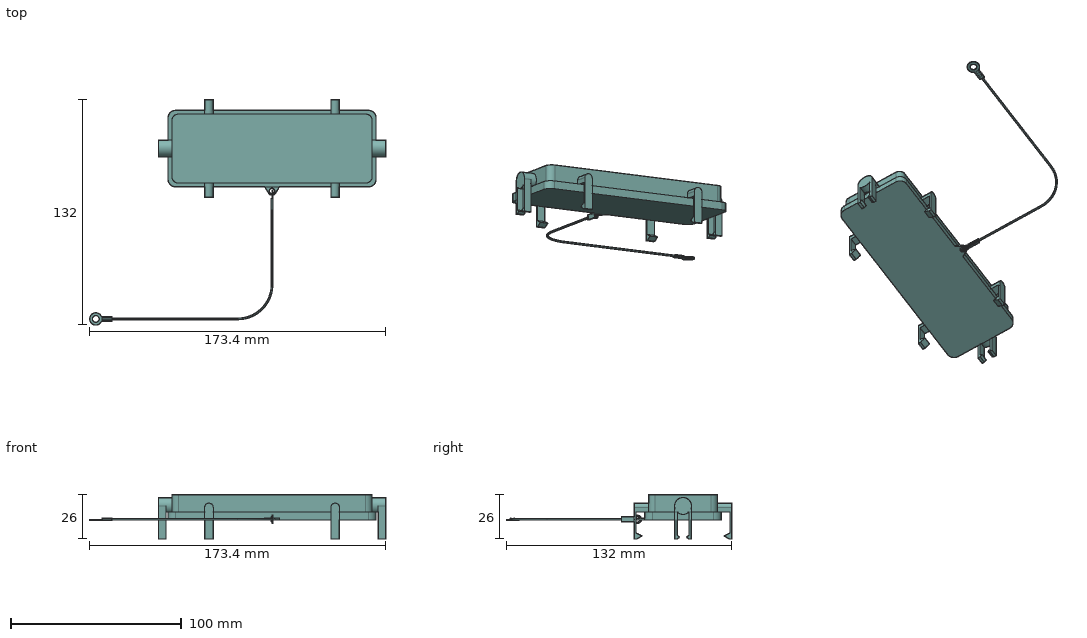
import cadquery as cq
import math


LID_LENGTH = 117.3
LID_WIDTH = 40.5
LID_TOP = 26.0
LID_CORNER = 3.8
FLANGE_LENGTH = 122.0
FLANGE_WIDTH = 45.0
FLANGE_BOTTOM = 11.1
FLANGE_TOP = 15.8
FLANGE_CORNER = 4.5

CLIP_ROOT_DEPTH = 1.7
CLIP_ROOT_X = LID_LENGTH / 2 - CLIP_ROOT_DEPTH
CLIP_ROOT_Y = LID_WIDTH / 2 - CLIP_ROOT_DEPTH

ARM_WIDTH = 5.0
ARM_RADIUS = ARM_WIDTH / 2
ARM_AXIS_Z = 18.5
SIDE_CLIP_X = 37.0
SIDE_CLIP_REACH = 28.6
SIDE_LEG = 1.2
SIDE_HOOK_REACH = 4.7
SIDE_HOOK_TOP = 3.6
SIDE_HOOK_TIP = 1.9
SIDE_HOOK_TOE = 1.5

HUB_DIAMETER = 9.9
HUB_RADIUS = HUB_DIAMETER / 2
HUB_AXIS_Z = 19.5
END_CLIP_REACH = 66.6
END_LEG = 1.5
END_LEG_WIDTH = 4.5
END_HOOK_REACH = 3.0
END_HOOK_TOP = 2.3
END_HOOK_TIP = 1.2
END_HOOK_TOE = 1.5

LUG_HALF_WIDTH = 4.3
LUG_ROOT_DEPTH = 0.9
LUG_THICKNESS = 1.2
LUG_EYE_OFFSET = 2.5
LUG_EYE_Y = -FLANGE_WIDTH / 2 - LUG_EYE_OFFSET
LUG_TIP_RADIUS = 2.5
LUG_HOLE_RADIUS = 1.5

CORD_RADIUS = 0.5
CORD_Z = 11.6
CORD_BEND = 20.1
NEAR_RING_Y = -26.7
NEAR_RING_RADIUS = 2.5
NEAR_HOLE_RADIUS = 1.5
FAR_RING_X = -103.2
FAR_RING_Y = -99.8
FAR_RING_RADIUS = 3.6
FAR_HOLE_RADIUS = 1.9
PLATE_THICKNESS = 0.7
CRIMP_END = 9.4
CRIMP_WIDTH = 3.1
WING_RADIUS = 0.7


def rounded_block(length, width, bottom, top, corner):
    block = cq.Workplane("XY").workplane(offset=bottom).rect(length, width).extrude(top - bottom)
    return block.edges("|Z").fillet(corner)


def hooked_leg(outer_y, thickness, width, top, hook_reach, hook_top, hook_tip, hook_toe):
    """Leg centred on X = 0 with its outer face at +outer_y and a barbed hook pointing to -Y."""
    inner_y = outer_y - thickness
    outline = [
        (outer_y, 0),
        (outer_y, top),
        (inner_y, top),
        (inner_y, hook_top),
        (outer_y - hook_reach, hook_tip),
        (outer_y - hook_toe, 0),
    ]
    return cq.Workplane("YZ").polyline(outline).close().extrude(width / 2, both=True)


def side_clip():
    """Clip on the +Y side, centred on X = 0."""
    arm = (
        cq.Workplane("XZ")
        .workplane(offset=-CLIP_ROOT_Y)
        .moveTo(-ARM_RADIUS, FLANGE_TOP)
        .lineTo(-ARM_RADIUS, ARM_AXIS_Z)
        .threePointArc((0, ARM_AXIS_Z + ARM_RADIUS), (ARM_RADIUS, ARM_AXIS_Z))
        .lineTo(ARM_RADIUS, FLANGE_TOP)
        .close()
        .extrude(CLIP_ROOT_Y - SIDE_CLIP_REACH)
    )
    leg = hooked_leg(
        SIDE_CLIP_REACH, SIDE_LEG, ARM_WIDTH, ARM_AXIS_Z,
        SIDE_HOOK_REACH, SIDE_HOOK_TOP, SIDE_HOOK_TIP, SIDE_HOOK_TOE,
    )
    return arm.union(leg)


def end_clip():
    """Clip on the +X end: a full disc between the legs, its stem cut flat level with the flange."""
    leg_inner_x = END_CLIP_REACH - END_LEG_WIDTH
    hub = (
        cq.Workplane("YZ")
        .workplane(offset=CLIP_ROOT_X)
        .center(0, HUB_AXIS_Z)
        .circle(HUB_RADIUS)
        .extrude(END_CLIP_REACH - CLIP_ROOT_X)
    )
    below_stem = cq.Workplane("XY").box(
        leg_inner_x, HUB_DIAMETER, FLANGE_TOP, centered=(False, True, False)
    )
    leg = hooked_leg(
        HUB_RADIUS, END_LEG, END_LEG_WIDTH, HUB_AXIS_Z,
        END_HOOK_REACH, END_HOOK_TOP, END_HOOK_TIP, END_HOOK_TOE,
    ).translate((END_CLIP_REACH - END_LEG_WIDTH / 2, 0, 0))
    return hub.cut(below_stem).union(leg).union(leg.mirror("XZ"))


def cord_lug():
    """Tab whose straight sides run tangent into a round tip around the eye."""
    edge_y = -FLANGE_WIDTH / 2
    root_y = edge_y + LUG_ROOT_DEPTH
    corner_distance = math.hypot(LUG_HALF_WIDTH, LUG_EYE_OFFSET)
    tangent_angle = math.atan2(LUG_EYE_OFFSET, LUG_HALF_WIDTH) - math.acos(LUG_TIP_RADIUS / corner_distance)
    tangent_x = LUG_TIP_RADIUS * math.cos(tangent_angle)
    tangent_y = LUG_EYE_Y + LUG_TIP_RADIUS * math.sin(tangent_angle)
    return (
        cq.Workplane("XY")
        .workplane(offset=FLANGE_BOTTOM)
        .moveTo(-LUG_HALF_WIDTH, root_y)
        .lineTo(-LUG_HALF_WIDTH, edge_y)
        .lineTo(-tangent_x, tangent_y)
        .threePointArc((0, LUG_EYE_Y - LUG_TIP_RADIUS), (tangent_x, tangent_y))
        .lineTo(LUG_HALF_WIDTH, edge_y)
        .lineTo(LUG_HALF_WIDTH, root_y)
        .close()
        .extrude(LUG_THICKNESS)
    )


def lug_eye():
    return (
        cq.Workplane("XY")
        .workplane(offset=FLANGE_BOTTOM)
        .center(0, LUG_EYE_Y)
        .circle(LUG_HOLE_RADIUS)
        .extrude(LUG_THICKNESS)
    )


def make_cover():
    cover = rounded_block(FLANGE_LENGTH, FLANGE_WIDTH, FLANGE_BOTTOM, FLANGE_TOP, FLANGE_CORNER)
    cover = cover.union(rounded_block(LID_LENGTH, LID_WIDTH, FLANGE_BOTTOM, LID_TOP, LID_CORNER))
    for x in (-SIDE_CLIP_X, SIDE_CLIP_X):
        clip = side_clip().translate((x, 0, 0))
        cover = cover.union(clip).union(clip.mirror("XZ"))
    clip = end_clip()
    cover = cover.union(clip).union(clip.mirror("YZ"))
    return cover.union(cord_lug()).cut(lug_eye())


def ring_terminal(ring_radius, hole_radius):
    """Terminal with its ring at the origin, crimp along +X, plate top and cord axis on Z = 0."""
    plate = (
        cq.Workplane("XY")
        .workplane(offset=-PLATE_THICKNESS)
        .circle(ring_radius)
        .extrude(PLATE_THICKNESS)
    )
    tongue = (
        cq.Workplane("XY")
        .workplane(offset=-PLATE_THICKNESS)
        .center(CRIMP_END / 2, 0)
        .rect(CRIMP_END, CRIMP_WIDTH)
        .extrude(PLATE_THICKNESS)
    )
    hole = (
        cq.Workplane("XY")
        .workplane(offset=-PLATE_THICKNESS)
        .circle(hole_radius)
        .extrude(PLATE_THICKNESS)
    )
    wing_inner_y = CRIMP_WIDTH / 2 - WING_RADIUS
    arc_offset = WING_RADIUS * math.sqrt(0.5)
    wing = (
        cq.Workplane("YZ")
        .workplane(offset=ring_radius)
        .moveTo(wing_inner_y, -PLATE_THICKNESS)
        .lineTo(wing_inner_y, WING_RADIUS)
        .threePointArc(
            (wing_inner_y + arc_offset, arc_offset),
            (CRIMP_WIDTH / 2, 0),
        )
        .lineTo(CRIMP_WIDTH / 2, -PLATE_THICKNESS)
        .close()
        .extrude(CRIMP_END - ring_radius)
    )
    return plate.union(tongue).union(wing).union(wing.mirror("XZ")).cut(hole)


def make_cord():
    start_y = NEAR_RING_Y - NEAR_RING_RADIUS
    bend_start_y = FAR_RING_Y + CORD_BEND
    bend_middle = CORD_BEND * (1 - math.sqrt(0.5))
    path = (
        cq.Workplane("XY")
        .workplane(offset=CORD_Z)
        .moveTo(0, start_y)
        .lineTo(0, bend_start_y)
        .threePointArc((-bend_middle, FAR_RING_Y + bend_middle), (-CORD_BEND, FAR_RING_Y))
        .lineTo(FAR_RING_X + FAR_RING_RADIUS, FAR_RING_Y)
    )
    cord = (
        cq.Workplane("XZ")
        .workplane(offset=-start_y)
        .center(0, CORD_Z)
        .circle(CORD_RADIUS)
        .sweep(path)
    )
    far_terminal = ring_terminal(FAR_RING_RADIUS, FAR_HOLE_RADIUS).translate((FAR_RING_X, FAR_RING_Y, CORD_Z))
    near_terminal = (
        ring_terminal(NEAR_RING_RADIUS, NEAR_HOLE_RADIUS)
        .rotate((0, 0, 0), (1, 0, 0), 90)
        .rotate((0, 0, 0), (0, 0, 1), -90)
        .translate((0, NEAR_RING_Y, CORD_Z))
    )
    return cord.union(far_terminal).union(near_terminal)


cover = make_cover()
cord = make_cord()
result = cq.Compound.makeCompound([cover.val(), cord.val()])